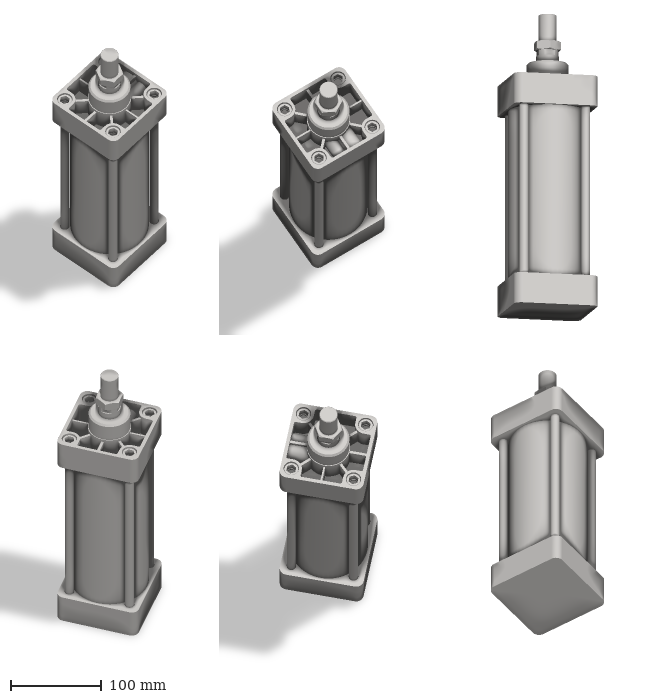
import cadquery as cq
import math

total_height = 332.0
cap_height = 34.0
cap_top = 258.0
cap_base = cap_top - cap_height
cap_axis_height = cap_base + cap_height / 2

cap_width = 94.0
cap_corner_radius = 8.3

barrel_diameter = 87.0
tie_rod_diameter = 10.0
tie_rod_offset = 35.0
clearance_diameter = 10.5
clearance_depth = 3.3

counterbore_diameter = 17.0
counterbore_depth = 11.3
head_diameter = 16.0
head_recess = 1.3
head_chamfer = 0.5
socket_flats = 10.0
socket_depth = 7.5
pilot_diameter = 8.3
pilot_depth = 1.5

wall_thickness = 4.0
pocket_depth = 25.0
pocket_floor = cap_top - pocket_depth
land_radius = 11.5
pocket_corner_radius = 2.0

boss_diameter = 47.8
boss_top = cap_top - 1.0
collar_diameter = 46.0
collar_top = 278.0
collar_chamfer = 2.0

rib_top = cap_top - 4.0
x_rib_thickness = 2.0
y_rib_thickness = 3.0
diagonal_rib_thickness = 3.0

port_swellings = [(-7.3, 22.0), (9.5, 14.5)]

neck_diameter = 25.0
neck_flats = 22.0
neck_round_top = 286.0
rod_diameter = 20.0
rod_chamfer = 0.5
nut_base = 292.0
nut_top = 302.0
nut_flats = 27.0
nut_chamfer_angle = 30.0


def disc(diameter, base, top, x=0.0, y=0.0):
    """Upright cylinder between two heights."""
    return cq.Workplane("XY", origin=(x, y, base)).circle(diameter / 2).extrude(top - base)


def block(length, width, base, top):
    """Centred upright block between two heights."""
    return cq.Workplane("XY", origin=(0, 0, base)).rect(length, width).extrude(top - base)


def hex_corners(flats):
    """Width across the corners of a hexagon."""
    return flats / math.cos(math.radians(30))


def tie_rod_places():
    return [(sx * tie_rod_offset, sy * tie_rod_offset) for sx in (-1, 1) for sy in (-1, 1)]


def make_cap(base):
    cap = block(cap_width, cap_width, base, base + cap_height)
    return cap.edges("|Z").fillet(cap_corner_radius)


def make_pocket():
    """Square recess that leaves a rounded land around each tie rod."""
    pocket_width = cap_width - 2 * wall_thickness
    pocket = block(pocket_width, pocket_width, pocket_floor, cap_top)
    land_size = 2 * (cap_width / 2 - tie_rod_offset + land_radius)
    for x, y in tie_rod_places():
        corner_x = math.copysign(cap_width / 2, x)
        corner_y = math.copysign(cap_width / 2, y)
        land = block(land_size, land_size, pocket_floor, cap_top)
        land = land.edges("|Z").fillet(land_radius)
        pocket = pocket.cut(land.translate((corner_x, corner_y, 0)))
    middle = pocket_width / 2 - pocket_corner_radius
    wall_edges = pocket.edges("|Z").filter(
        lambda edge: max(abs(edge.Center().x), abs(edge.Center().y)) > middle
    )
    return wall_edges.fillet(pocket_corner_radius)


def make_ribs():
    """Ribs along X, along Y and along both diagonals."""
    span = cap_width - 2 * wall_thickness
    diagonal_span = 2 * math.sqrt(2) * tie_rod_offset
    x_rib = block(span, x_rib_thickness, pocket_floor, rib_top)
    y_rib = block(y_rib_thickness, span, pocket_floor, rib_top)
    ribs = x_rib.union(y_rib)
    for angle in (45, 135):
        diagonal = block(diagonal_span, diagonal_rib_thickness, pocket_floor, rib_top)
        ribs = ribs.union(diagonal.rotate((0, 0, 0), (0, 0, 1), angle))
    return ribs


def make_port_swellings():
    """Horizontal cylinders that run from the nose to the +Y wall."""
    length = cap_width / 2 - wall_thickness
    swellings = cq.Workplane("XY")
    for x, diameter in port_swellings:
        cylinder = cq.Workplane("XZ", origin=(x, 0, cap_axis_height)).circle(diameter / 2).extrude(-length)
        swellings = swellings.union(cylinder)
    return swellings


def make_nose():
    boss = disc(boss_diameter, pocket_floor, boss_top)
    collar = disc(collar_diameter, boss_top, collar_top).faces(">Z").chamfer(collar_chamfer)
    return boss.union(collar)


def make_screw_cavity(x, y):
    """Gap around a screw head, with the hexagon socket and the pilot hole in it."""
    head_top = cap_top - head_recess
    socket_floor = head_top - socket_depth
    counterbore_floor = cap_top - counterbore_depth
    head = disc(head_diameter, counterbore_floor, head_top, x, y).faces(">Z").chamfer(head_chamfer)
    gap = disc(counterbore_diameter, counterbore_floor, cap_top, x, y).cut(head)
    socket = (
        cq.Workplane("XY", origin=(x, y, socket_floor))
        .polygon(6, hex_corners(socket_flats))
        .extrude(socket_depth)
    )
    pilot = disc(pilot_diameter, socket_floor - pilot_depth, socket_floor, x, y)
    return gap.union(socket).union(pilot)


def make_housing():
    housing = make_cap(0).union(disc(barrel_diameter, cap_height, cap_base)).union(make_cap(cap_base))
    housing = housing.cut(make_pocket()).union(make_port_swellings())
    housing = housing.union(make_ribs()).union(make_nose())
    for x, y in tie_rod_places():
        clearance = disc(clearance_diameter, cap_height - clearance_depth, cap_base + clearance_depth, x, y)
        tie_rod = disc(tie_rod_diameter, cap_height - clearance_depth, cap_base + clearance_depth, x, y)
        housing = housing.cut(clearance).union(tie_rod)
        housing = housing.cut(make_screw_cavity(x, y))
    return housing


def make_nut():
    """Hexagon with corners on the Y axis and conical chamfers at both ends."""
    corner_radius = hex_corners(nut_flats) / 2
    flat_radius = nut_flats / 2
    drop = (corner_radius - flat_radius) * math.tan(math.radians(nut_chamfer_angle))
    hexagon = (
        cq.Workplane("XY", origin=(0, 0, nut_base))
        .transformed(rotate=(0, 0, 90))
        .polygon(6, 2 * corner_radius)
        .extrude(nut_top - nut_base)
    )
    turned = (
        cq.Workplane("XZ")
        .moveTo(0, nut_base)
        .lineTo(flat_radius, nut_base)
        .lineTo(corner_radius, nut_base + drop)
        .lineTo(corner_radius, nut_top - drop)
        .lineTo(flat_radius, nut_top)
        .lineTo(0, nut_top)
        .close()
        .revolve(360, (0, 0, 0), (0, 1, 0))
    )
    return hexagon.intersect(turned)


def make_piston_rod():
    neck = disc(neck_diameter, collar_top, neck_round_top)
    flats = disc(neck_diameter, neck_round_top, nut_base).intersect(
        block(neck_flats, neck_flats, neck_round_top, nut_base)
    )
    rod = disc(rod_diameter, nut_base, total_height).faces(">Z").chamfer(rod_chamfer)
    return neck.union(flats).union(rod).union(make_nut())


housing = make_housing()
piston_rod = make_piston_rod()
result = cq.Compound.makeCompound([housing.val(), piston_rod.val()])